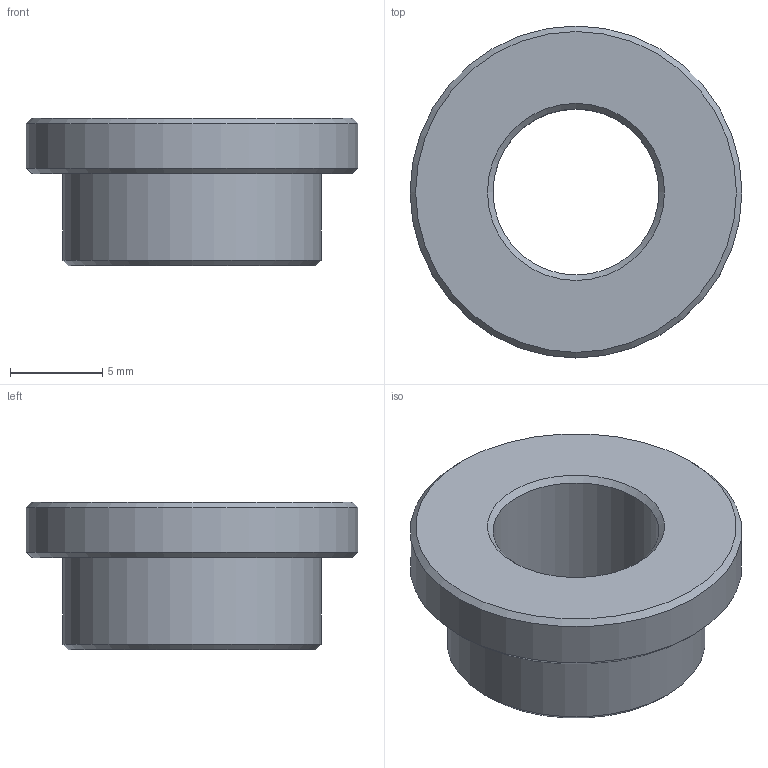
import cadquery as cq

flange_diameter = 18.0
flange_thickness = 3.0
sleeve_diameter = 14.0
sleeve_length = 5.0
bore_diameter = 9.0
edge_chamfer = 0.3

total_height = sleeve_length + flange_thickness


def make_sleeve():
    """Cylinder below the flange, chamfered around its lower rim."""
    sleeve = cq.Workplane("XY").circle(sleeve_diameter / 2).extrude(sleeve_length)
    return sleeve.faces("<Z").edges().chamfer(edge_chamfer)


def make_flange():
    """Disc on top of the sleeve, chamfered around both rims."""
    base = cq.Workplane("XY").workplane(offset=sleeve_length)
    flange = base.circle(flange_diameter / 2).extrude(flange_thickness)
    return flange.faces("<Z or >Z").edges().chamfer(edge_chamfer)


def make_bore():
    """Through bore with a conical lead-in at the flange end."""
    bore = cq.Workplane("XY").circle(bore_diameter / 2).extrude(total_height)
    lead_in = cq.Workplane("XY").add(
        cq.Solid.makeCone(
            bore_diameter / 2,
            bore_diameter / 2 + edge_chamfer,
            edge_chamfer,
            pnt=cq.Vector(0, 0, total_height - edge_chamfer),
        )
    )
    return bore.union(lead_in)


result = make_sleeve().union(make_flange()).cut(make_bore())